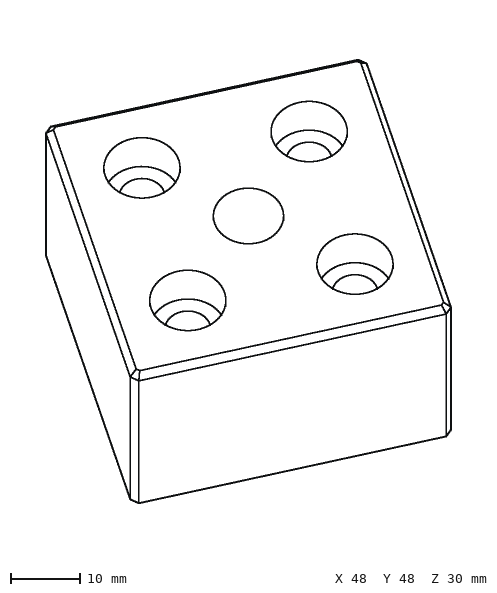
import cadquery as cq

side = 48.0
height = 30.0
edge_chamfer = 1.0

center_bore_diameter = 10.15
screw_spacing = 25.0
screw_hole_diameter = 6.6
counterbore_diameter = 11.0
counterbore_depth = 6.8


def make_block():
    """Square block: chamfered uprights, then a chamfer around the whole top outline."""
    block = cq.Workplane("XY").box(side, side, height, centered=(True, True, False))
    block = block.edges("|Z").chamfer(edge_chamfer)
    return block.faces(">Z").edges().chamfer(edge_chamfer)


def add_center_bore(block):
    """Plain through bore on the block axis."""
    return block.faces(">Z").workplane(origin=(0, 0, height)).hole(center_bore_diameter)


def add_screw_holes(block):
    """Four counterbored through holes in a square pattern, sunk from the top."""
    return (
        block.faces(">Z")
        .workplane(origin=(0, 0, height))
        .rarray(screw_spacing, screw_spacing, 2, 2)
        .cboreHole(screw_hole_diameter, counterbore_diameter, counterbore_depth)
    )


result = add_screw_holes(add_center_bore(make_block()))